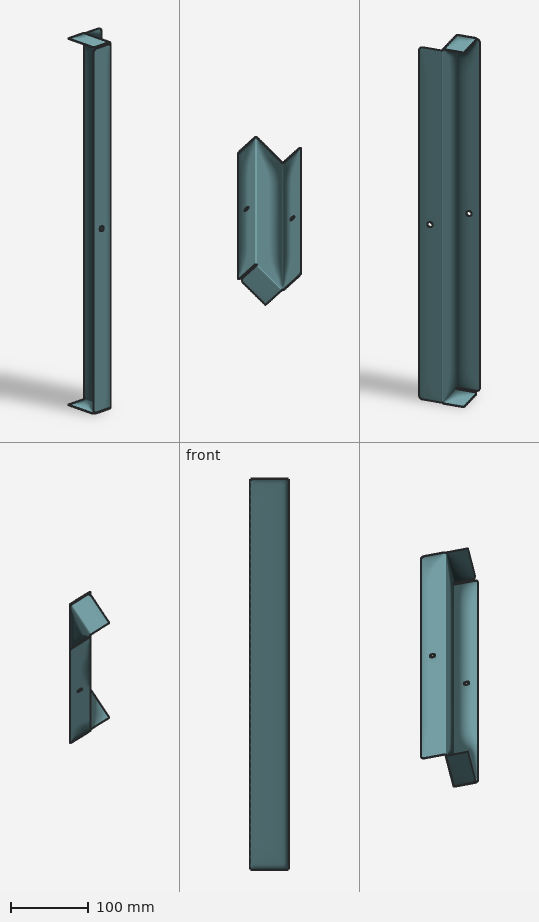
import cadquery as cq

height = 504.0
width = 51.0
depth = 64.0

thickness = 1.0
inner_radius = 1.0
outer_radius = inner_radius + thickness

flange_end_gap = 2.0
flange_height = height - 2 * flange_end_gap
corner_radius = 5.0
hole_diameter = 7.0
hole_edge_distance = 15.0

lip_side_gap = 2.0
lip_front_gap = 2.5
lip_corner_radius = 5.0

web_back = 0.25
web_front = web_back - thickness
left = -width / 2
right = width / 2
front = -depth / 2
back = depth / 2


def make_rail():
    """Z-shaped section: back flange on the left, web, front flange on the right."""
    section = (
        cq.Workplane("XY")
        .moveTo(left, back)
        .lineTo(left, web_front)
        .lineTo(right - thickness, web_front)
        .lineTo(right - thickness, front)
        .lineTo(right, front)
        .lineTo(right, web_back)
        .lineTo(left + thickness, web_back)
        .lineTo(left + thickness, back)
        .close()
        .extrude(flange_height / 2, both=True)
    )
    outer_bends = [(left, web_front, 0), (right, web_back, 0)]
    inner_bends = [(left + thickness, web_back, 0), (right - thickness, web_front, 0)]
    for bends, radius in ((outer_bends, outer_radius), (inner_bends, inner_radius)):
        for point in bends:
            section = section.edges(cq.NearestToPointSelector(point)).fillet(radius)
    return section.edges("|X").edges("<Y or >Y").fillet(corner_radius)


def make_end_lip():
    """Top lip, folded forward from the web with one rounded front corner."""
    lip_left = left + lip_side_gap
    lip_right = right - lip_side_gap
    lip_front = front + lip_front_gap
    lip_top = height / 2
    web_end = lip_top - outer_radius
    lip = (
        cq.Workplane("YZ", origin=(lip_left, 0, 0))
        .moveTo(web_back, web_end)
        .radiusArc((web_back - outer_radius, lip_top), -outer_radius)
        .lineTo(lip_front, lip_top)
        .lineTo(lip_front, lip_top - thickness)
        .lineTo(web_front - inner_radius, lip_top - thickness)
        .radiusArc((web_front, web_end), inner_radius)
        .close()
        .extrude(lip_right - lip_left)
    )
    return lip.edges("|Z and <Y and >X").fillet(lip_corner_radius)


def make_flange_holes():
    """Cutters for the hole at mid-height of each flange."""
    return (
        cq.Workplane("YZ")
        .pushPoints([(front + hole_edge_distance, 0), (back - hole_edge_distance, 0)])
        .circle(hole_diameter / 2)
        .extrude(width, both=True)
    )


top_lip = make_end_lip()
bottom_lip = top_lip.mirror("XY")
result = make_rail().union(top_lip).union(bottom_lip).cut(make_flange_holes())